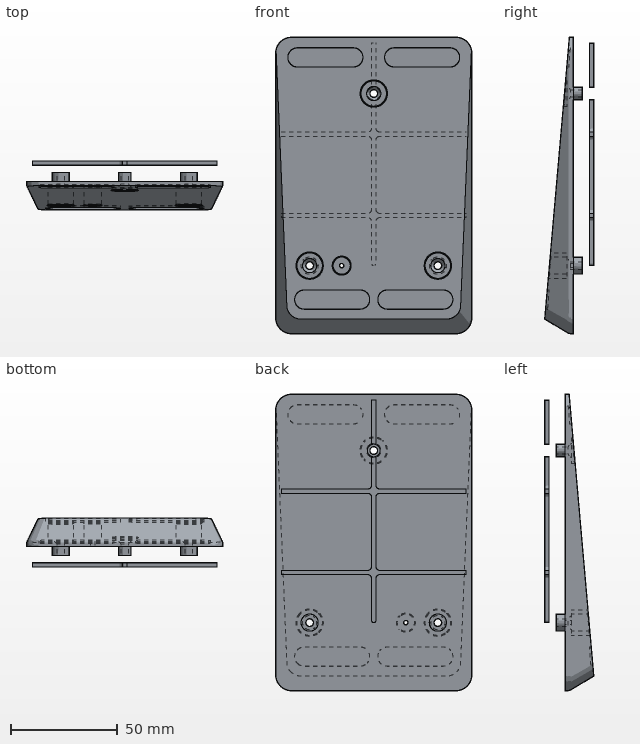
import cadquery as cq
import math

TOLERANCE = 0.01

WIDTH = 92.0
HEIGHT = 139.0
HALF_WIDTH = WIDTH / 2
HALF_HEIGHT = HEIGHT / 2
CORNER_RADIUS = 7.6
RIM_THICKNESS = 2.0
FACE_TILT = 5.0
SIDE_DRAFT = 25.8
BOTTOM_DRAFT = 31.0
WEDGE_DEPTH = 14.5
WEDGE_FRONT_RADIUS = 6.0
TOP_EXTRA = 27.8
WALL_BLEND_RADIUS = 4.0

RECESS_LENGTH = 35.2
RECESS_WIDTH = 9.0
RECESS_DEPTH = 1.0
UPPER_RECESS_X = 22.7
UPPER_RECESS_Z = 60.0
LOWER_RECESS_X = 19.5
LOWER_RECESS_Z = -53.4

UPPER_SCREW_Z = 43.1
LOWER_SCREW_X = 30.0
LOWER_SCREW_Z = -37.5
SCREW_DIAMETER = 3.5
COUNTERSINK_DIAMETER = 6.7
COUNTERBORE_DIAMETER = 12.0
COUNTERBORE_FLOOR = 2.9
RIM_CHAMFER = 0.4
UPPER_BOSS_DIAMETER = 6.0
LOWER_BOSS_DIAMETER = 8.0
BOSS_LENGTH = 4.2

SMALL_HOLE_X = -LOWER_SCREW_X / 2
SMALL_HOLE_DIAMETER = 2.0
SMALL_COUNTERBORE_DIAMETER = 8.0

STRIP_WIDTH = 2.0
STRIP_THICKNESS = 2.1
STRIP_GAP = 7.5
EDGE_MARGIN = 2.8
STRIP_TOP = HALF_HEIGHT - EDGE_MARGIN
STRIP_BOTTOM = LOWER_SCREW_Z
END_ROUND = 0.96
ARM_HALF_LENGTH = HALF_WIDTH - EDGE_MARGIN
ARM_HEIGHTS = (24.0, -14.0)
ARM_FILLET = 2.0
STRIP_PARTING_DIAMETER = UPPER_BOSS_DIAMETER


def at_depth(y):
    """Workplane at the given Y whose local axes are X and Z and whose normal is -Y."""
    return cq.Workplane("XZ", origin=(0, y, 0))


def face_plane():
    """Workplane on the tilted front face, at the middle of its top edge."""
    tilt = math.radians(FACE_TILT)
    normal = (0, -math.cos(tilt), math.sin(tilt))
    origin = (0, -RIM_THICKNESS, HALF_HEIGHT)
    return cq.Workplane(cq.Plane(origin=origin, xDir=(1, 0, 0), normal=normal))


def face_y(z):
    """Y of the tilted front face at the given height."""
    return -RIM_THICKNESS - (HALF_HEIGHT - z) * math.tan(math.radians(FACE_TILT))


def rounded_outline(side_inset=0, bottom_inset=0, radius=CORNER_RADIUS, depth=0, top_extra=0):
    """Housing outline with inset sides and bottom and a raised top, moved forward by the depth."""
    width = WIDTH - 2 * side_inset
    height = HEIGHT - bottom_inset + top_extra
    centre = cq.Vector(0, (bottom_inset + top_extra) / 2, depth)
    return cq.Sketch().rect(width, height).vertices().fillet(radius).moved(cq.Location(centre))


def make_drafted_block():
    """Rim and drafted block, blended together, running up past the top of the housing."""
    side_inset = WEDGE_DEPTH * math.tan(math.radians(SIDE_DRAFT))
    bottom_inset = WEDGE_DEPTH * math.tan(math.radians(BOTTOM_DRAFT))
    back = rounded_outline(top_extra=TOP_EXTRA)
    front = rounded_outline(
        side_inset, bottom_inset, WEDGE_FRONT_RADIUS, WEDGE_DEPTH, TOP_EXTRA - side_inset
    )
    rim = at_depth(0).placeSketch(back).extrude(RIM_THICKNESS)
    wedge = at_depth(-RIM_THICKNESS).placeSketch(back, front).loft(ruled=True)
    junction = cq.selectors.BoxSelector(
        (-WIDTH, -RIM_THICKNESS - TOLERANCE, -HEIGHT),
        (WIDTH, -RIM_THICKNESS + TOLERANCE, HEIGHT),
    )
    return rim.union(wedge).edges(junction).fillet(WALL_BLEND_RADIUS)


def make_blank():
    """Drafted block with a straight, round-cornered top end, cut by the tilted front face."""
    outline = at_depth(0).placeSketch(rounded_outline()).extrude(2 * WEDGE_DEPTH)
    in_front = face_plane().rect(2 * WIDTH, 3 * HEIGHT).extrude(2 * WEDGE_DEPTH)
    return make_drafted_block().intersect(outline).cut(in_front)


def make_recesses():
    """Four slot-shaped cutters that sink into the tilted front face."""
    centres = []
    for x, z in ((UPPER_RECESS_X, UPPER_RECESS_Z), (LOWER_RECESS_X, LOWER_RECESS_Z)):
        along_face = (z - HALF_HEIGHT) / math.cos(math.radians(FACE_TILT))
        centres += [(-x, along_face), (x, along_face)]
    return face_plane().pushPoints(centres).slot2D(RECESS_LENGTH, RECESS_WIDTH).extrude(-RECESS_DEPTH)


def make_boss(x, z, diameter):
    """Round boss standing on the back of the housing."""
    return at_depth(0).center(x, z).circle(diameter / 2).extrude(-BOSS_LENGTH)


def drill(body, x, z, hole_diameter, counterbore_diameter):
    """Counterbore from the front with a chamfered rim, and a hole through to the back."""
    radius = counterbore_diameter / 2
    bore = at_depth(-COUNTERBORE_FLOOR).center(x, z).circle(radius).extrude(2 * WEDGE_DEPTH)
    body = body.cut(bore)
    reach = radius + TOLERANCE
    rim_rise = reach * math.tan(math.radians(FACE_TILT)) + TOLERANCE
    rim = cq.selectors.BoxSelector(
        (x - reach, face_y(z) - rim_rise, z - reach),
        (x + reach, face_y(z) + rim_rise, z + reach),
        boundingbox=True,
    )
    body = body.edges(rim).chamfer(RIM_CHAMFER)
    hole = at_depth(BOSS_LENGTH).center(x, z).circle(hole_diameter / 2).extrude(2 * WEDGE_DEPTH)
    return body.cut(hole)


def make_countersink(x, z):
    """Cone that opens a screw hole at the counterbore floor."""
    depth = (COUNTERSINK_DIAMETER - SCREW_DIAMETER) / 2
    cone = cq.Solid.makeCone(
        COUNTERSINK_DIAMETER / 2,
        SCREW_DIAMETER / 2,
        depth,
        cq.Vector(x, -COUNTERBORE_FLOOR, z),
        cq.Vector(0, 1, 0),
    )
    return cq.Workplane(cone)


def make_housing():
    """Wedge plate with its bosses, pad recesses and holes."""
    housing = make_blank().cut(make_recesses())
    screws = (
        (0, UPPER_SCREW_Z, UPPER_BOSS_DIAMETER),
        (-LOWER_SCREW_X, LOWER_SCREW_Z, LOWER_BOSS_DIAMETER),
        (LOWER_SCREW_X, LOWER_SCREW_Z, LOWER_BOSS_DIAMETER),
    )
    for x, z, boss_diameter in screws:
        housing = housing.union(make_boss(x, z, boss_diameter))
        housing = drill(housing, x, z, SCREW_DIAMETER, COUNTERBORE_DIAMETER)
        housing = housing.cut(make_countersink(x, z))
    return drill(housing, SMALL_HOLE_X, LOWER_SCREW_Z, SMALL_HOLE_DIAMETER, SMALL_COUNTERBORE_DIAMETER)


def strip_bar(x, z, width, height):
    """Straight bar of the strip, centred at the given X and Z."""
    return at_depth(STRIP_GAP).center(x, z).rect(width, height).extrude(-STRIP_THICKNESS)


def make_parting():
    """Round cutter, in line with the upper screw, that separates the two strips."""
    radius = STRIP_PARTING_DIAMETER / 2
    return at_depth(STRIP_GAP).center(0, UPPER_SCREW_Z).circle(radius).extrude(-STRIP_THICKNESS)


def make_upper_strip():
    """Straight bar above the parting hole."""
    bar = strip_bar(0, (STRIP_TOP + UPPER_SCREW_Z) / 2, STRIP_WIDTH, STRIP_TOP - UPPER_SCREW_Z)
    return bar.cut(make_parting())


def make_lower_strip():
    """Bar below the parting hole, with a round lower end and two crossing arms."""
    bar = strip_bar(0, (UPPER_SCREW_Z + STRIP_BOTTOM) / 2, STRIP_WIDTH, UPPER_SCREW_Z - STRIP_BOTTOM)
    strip = bar.edges("|Y and <Z").fillet(END_ROUND)
    for z in ARM_HEIGHTS:
        strip = strip.union(strip_bar(0, z, 2 * ARM_HALF_LENGTH, STRIP_WIDTH))
    crossings = cq.selectors.BoxSelector(
        (-STRIP_WIDTH, STRIP_GAP - TOLERANCE, min(ARM_HEIGHTS) - STRIP_WIDTH),
        (STRIP_WIDTH, STRIP_GAP + STRIP_THICKNESS + TOLERANCE, max(ARM_HEIGHTS) + STRIP_WIDTH),
    )
    strip = strip.edges("|Y").edges(crossings).fillet(ARM_FILLET)
    return strip.cut(make_parting())


housing = make_housing()
upper_strip = make_upper_strip()
lower_strip = make_lower_strip()
result = cq.Compound.makeCompound([housing.val(), upper_strip.val(), lower_strip.val()])